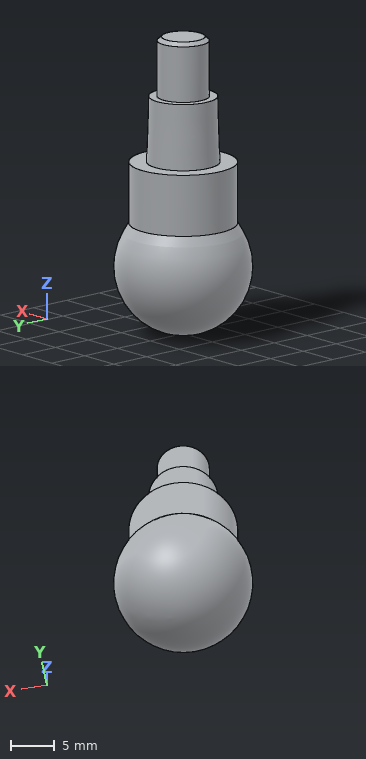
import cadquery as cq
import math

total_height = 35.0

ball_diameter = 15.9
collar_diameter = 12.42
collar_top = 20.25
neck_half_angle = math.radians(30)

seat_bottom_diameter = 8.4
seat_top_diameter = 7.9
seat_top = 28.0
shank_diameter = 6.0
tip_chamfer_width = 0.5
tip_chamfer_height = 0.45


def make_knob():
    """Revolve the ball, neck cone and collar as one solid."""
    ball_radius = ball_diameter / 2
    collar_radius = collar_diameter / 2
    tangent_radius = ball_radius * math.cos(neck_half_angle)
    tangent_height = ball_radius + ball_radius * math.sin(neck_half_angle)
    neck_height = (tangent_radius - collar_radius) / math.tan(neck_half_angle)
    return (
        cq.Workplane("XZ")
        .moveTo(0, 0)
        .threePointArc((ball_radius, ball_radius), (tangent_radius, tangent_height))
        .lineTo(collar_radius, tangent_height + neck_height)
        .lineTo(collar_radius, collar_top)
        .lineTo(0, collar_top)
        .close()
        .revolve(360, (0, 0, 0), (0, 1, 0))
    )


def make_stud():
    """Revolve the tapered seat and shank, standing on the collar's top face."""
    shank_radius = shank_diameter / 2
    return (
        cq.Workplane("XZ")
        .moveTo(0, collar_top)
        .lineTo(seat_bottom_diameter / 2, collar_top)
        .lineTo(seat_top_diameter / 2, seat_top)
        .lineTo(shank_radius, seat_top)
        .lineTo(shank_radius, total_height - tip_chamfer_height)
        .lineTo(shank_radius - tip_chamfer_width, total_height)
        .lineTo(0, total_height)
        .close()
        .revolve(360, (0, 0, 0), (0, 1, 0))
    )


knob = make_knob()
stud = make_stud()

result = cq.Compound.makeCompound([knob.val(), stud.val()])